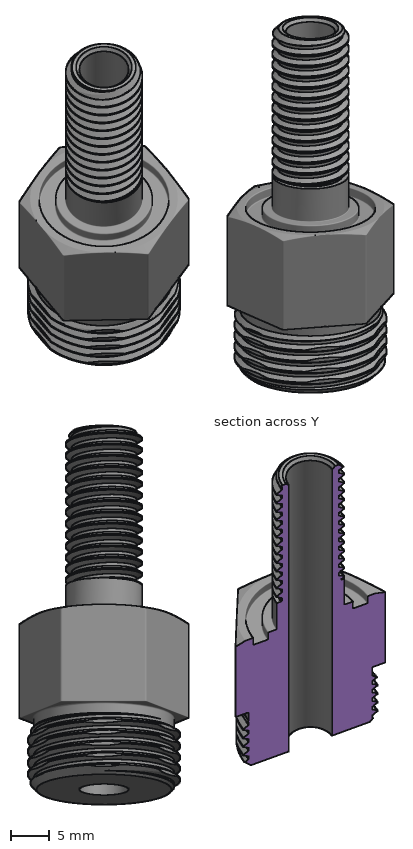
import cadquery as cq
import math

total_height = 47.3
hex_bottom = 9.45
hex_top = 22.33
stud_shoulder = 26.9

hex_flats = 19.05
hex_corner_radius = 0.35
hex_cone_angle = 17.0

groove_depth = 1.25
groove_inner_radius = 6.25
groove_outer_radius = 8.35
groove_rounding = 0.15

hex_edge_rounding = 0.1
stud_base_rounding = 0.1
plug_neck_rounding = 0.2

stud_radius = 4.95
stud_chamfer = 0.85
stud_thread_turns = 13.6
stud_crest_height = 36.25

plug_radius = 9.85
plug_chamfer = 1.15
plug_crest_height = 3.05
plug_runout_top = 8.1

pitch = (total_height - stud_shoulder) / stud_thread_turns
thread_depth = 0.75
crest_width = 0.2
flank_angle = 30.0
root_overlap = 0.15
clearance = 0.45

stud_root_radius = stud_radius - thread_depth
plug_root_radius = plug_radius - thread_depth

bore_radius = 3.15
bore_chamfer = 0.43


def revolve_profile(points):
    """Revolve a closed outline of (radius, height) points about Z."""
    return cq.Workplane("XZ").polyline(points).close().revolve(360, (0, 0, 0), (0, 1, 0))


def cylinder(radius, bottom, top):
    return cq.Workplane("XY").workplane(offset=bottom).circle(radius).extrude(top - bottom)


def thread_ridge(crest_radius, crest_height, bottom, top):
    """Right-hand helical ridge covering bottom to top, with a crest on +X at crest_height."""
    turns_below = math.ceil((crest_height - bottom) / pitch) + 1
    turns_above = math.ceil((top - crest_height) / pitch) + 1
    start = crest_height - turns_below * pitch
    length = (turns_below + turns_above) * pitch

    inner_radius = crest_radius - thread_depth - root_overlap
    half_crest = crest_width / 2
    half_base = half_crest + (crest_radius - inner_radius) * math.tan(math.radians(flank_angle))
    section = [
        (inner_radius, start - half_base),
        (crest_radius, start - half_crest),
        (crest_radius, start + half_crest),
        (inner_radius, start + half_base),
    ]
    helix = cq.Workplane(cq.Wire.makeHelix(pitch, length, inner_radius, cq.Vector(0, 0, start)))
    return cq.Workplane("XZ").polyline(section).close().sweep(helix, isFrenet=True)


def hex_prism(bottom, top):
    corner_diameter = hex_flats / math.cos(math.radians(30))
    prism = cq.Workplane("XY").workplane(offset=bottom).polygon(6, corner_diameter).extrude(top - bottom)
    return prism.edges("|Z").fillet(hex_corner_radius)


def hex_body():
    """Hexagon whose top corners are turned down by a cone touching the flats."""
    flat_radius = hex_flats / 2
    corner_radius = flat_radius / math.cos(math.radians(30))
    drop = (corner_radius - flat_radius) * math.tan(math.radians(hex_cone_angle))
    turned = revolve_profile([
        (0, hex_bottom),
        (corner_radius, hex_bottom),
        (corner_radius, hex_top - drop),
        (flat_radius, hex_top),
        (0, hex_top),
    ])
    body = hex_prism(hex_bottom, hex_top).intersect(turned)
    return body.edges("not |Z").fillet(hex_edge_rounding)


def ring_groove():
    """Ring-shaped cutter, flared at the rims and rounded at the floor corners."""
    floor = hex_top - groove_depth
    r = groove_rounding
    inner = groove_inner_radius
    outer = groove_outer_radius
    return (
        cq.Workplane("XZ")
        .moveTo(inner - r, hex_top)
        .radiusArc((inner, hex_top - r), r)
        .lineTo(inner, floor + r)
        .radiusArc((inner + r, floor), -r)
        .lineTo(outer - r, floor)
        .radiusArc((outer, floor + r), -r)
        .lineTo(outer, hex_top - r)
        .radiusArc((outer + r, hex_top), r)
        .close()
        .revolve(360, (0, 0, 0), (0, 1, 0))
    )


def root_fillet(radius, rounding, face_height, side):
    """Ring filling the corner between a cylinder and a flat face; side is +1 above the face, -1 below."""
    return (
        cq.Workplane("XZ")
        .moveTo(radius - rounding, face_height)
        .lineTo(radius + rounding, face_height)
        .radiusArc((radius, face_height + side * rounding), side * rounding)
        .lineTo(radius - rounding, face_height + side * rounding)
        .close()
        .revolve(360, (0, 0, 0), (0, 1, 0))
    )


def stud():
    """Plain shank below a thread that ends square on the shank and is chamfered at the tip."""
    pin_radius = stud_root_radius - clearance
    pin_bottom = stud_shoulder - clearance
    shank = cylinder(stud_radius, hex_bottom, stud_shoulder)
    envelope = revolve_profile([
        (0, pin_bottom),
        (pin_radius, pin_bottom),
        (pin_radius, stud_shoulder),
        (stud_radius + clearance, stud_shoulder),
        (stud_radius + clearance, total_height - stud_chamfer - clearance),
        (stud_radius - stud_chamfer, total_height),
        (0, total_height),
    ])
    core = cylinder(stud_root_radius, stud_shoulder - 2 * pitch, total_height + 2 * pitch)
    ridge = thread_ridge(stud_radius, stud_crest_height, stud_shoulder, total_height)
    return core.union(ridge).intersect(envelope).union(shank)


def plug():
    """Thread with conical ends below a plain neck, its crests trimmed to the hexagon flats."""
    envelope = revolve_profile([
        (0, 0),
        (plug_radius - plug_chamfer, 0),
        (plug_radius + clearance, plug_chamfer + clearance),
        (plug_radius + clearance, plug_runout_top - thread_depth - clearance),
        (plug_root_radius, plug_runout_top),
        (0, plug_runout_top),
    ])
    neck = cylinder(plug_root_radius, plug_runout_top, hex_bottom)
    core = cylinder(plug_root_radius, -2 * pitch, plug_runout_top + 2 * pitch)
    ridge = thread_ridge(plug_radius, plug_crest_height, 0, plug_runout_top)
    return core.union(ridge).intersect(envelope).intersect(hex_prism(0, hex_bottom)).union(neck)


def bore():
    """Through hole with its top chamfer."""
    return revolve_profile([
        (0, 0),
        (bore_radius, 0),
        (bore_radius, total_height - bore_chamfer),
        (bore_radius + bore_chamfer, total_height),
        (0, total_height),
    ])


body = hex_body().cut(ring_groove())
stud_base = root_fillet(stud_radius, stud_base_rounding, hex_top, 1)
plug_neck = root_fillet(plug_root_radius, plug_neck_rounding, hex_bottom, -1)
result = body.union(stud()).union(plug()).union(stud_base).union(plug_neck).cut(bore())